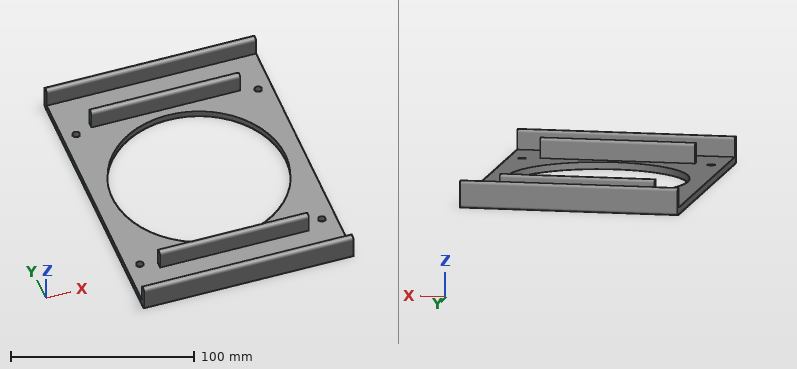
import cadquery as cq

length = 165.0
width = 121.0
height = 15.0
plate_thickness = 4.0

wall_thickness = 4.0
edge_radius = 1.6
rib_length = 86.0
rib_outer_spacing = 117.5

opening_diameter = 100.0
screw_diameter = 4.1
screw_spacing = 105.1


def upright(span, outer_y, side):
    """Wall along X with a rounded top, its outer face at side * outer_y."""
    center_y = side * (outer_y - wall_thickness / 2)
    return (
        cq.Workplane("XY")
        .center(0, center_y)
        .box(span, wall_thickness, height, centered=(True, True, False))
        .edges("|X and >Z")
        .fillet(edge_radius)
    )


body = cq.Workplane("XY").box(width, length, plate_thickness, centered=(True, True, False))

for side in (-1, 1):
    body = body.union(upright(width, length / 2, side))
    body = body.union(upright(rib_length, rib_outer_spacing / 2, side))

body = body.edges("|X and <Z").fillet(edge_radius)

opening = cq.Workplane("XY").circle(opening_diameter / 2).extrude(plate_thickness)
screw_holes = (
    cq.Workplane("XY")
    .rect(screw_spacing, screw_spacing, forConstruction=True)
    .vertices()
    .circle(screw_diameter / 2)
    .extrude(plate_thickness)
)

result = body.cut(opening).cut(screw_holes)